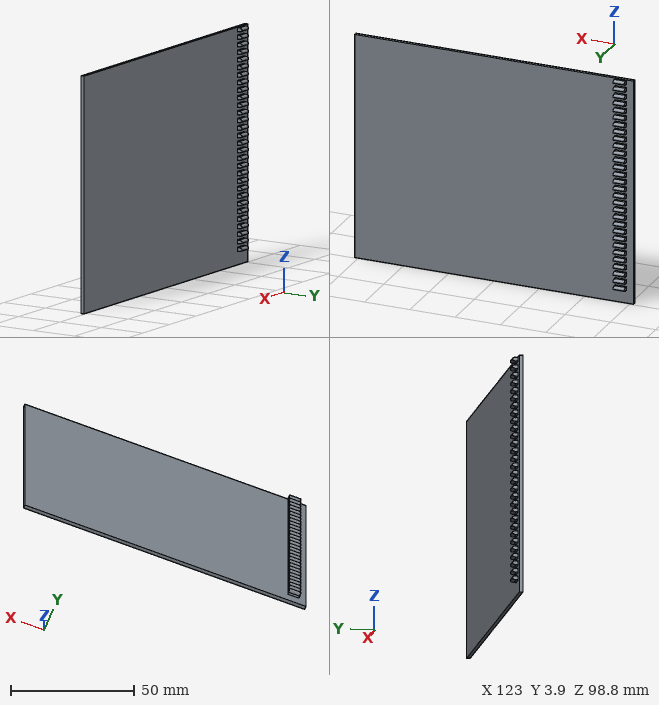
import cadquery as cq

plate_length = 123.0
plate_height = 98.8
plate_thickness = 1.5

tooth_count = 30
tooth_column_span = 91.3
tooth_pitch = tooth_column_span / (tooth_count - 1)
tooth_inset = 3.1
tooth_width = 4.9
first_tooth_drop = 1.02

head_depth = 1.5
neck_depth = 0.9
head_half_height = 0.8
waist_half_height = 0.71
root_half_height = 0.91

neck_end_y = plate_thickness + neck_depth
waist_y = plate_thickness + neck_depth / 2


def make_plate():
    return cq.Workplane("XY").box(plate_length, plate_thickness, plate_height, centered=False)


def make_tooth(center_z):
    """Tooth extruded along X, with its root on the +Y face of the plate."""
    return (
        cq.Workplane("YZ", origin=(tooth_inset, 0, center_z))
        .moveTo(plate_thickness, -root_half_height)
        .threePointArc((waist_y, -waist_half_height), (neck_end_y, -head_half_height))
        .ellipseArc(head_depth, head_half_height, -90, 90, startAtCurrent=True)
        .threePointArc((waist_y, waist_half_height), (plate_thickness, root_half_height))
        .close()
        .extrude(tooth_width)
    )


result = make_plate()
top_tooth_z = plate_height - first_tooth_drop
for index in range(tooth_count):
    result = result.union(make_tooth(top_tooth_z - index * tooth_pitch))